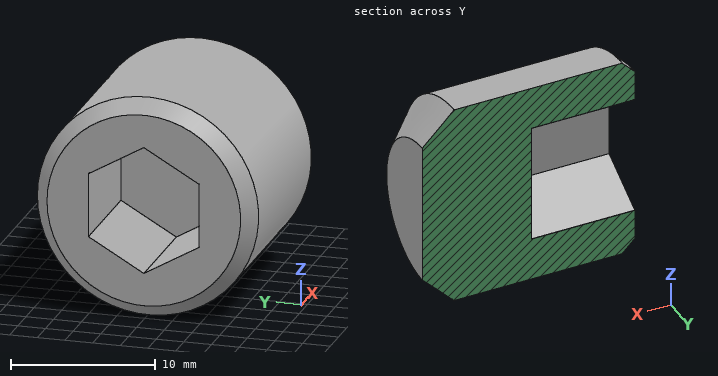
import cadquery as cq
import math

length = 16.5
diameter = 16.0
socket_chamfer = 1.0
tip_chamfer = 2.48
socket_across_flats = diameter / 2
socket_depth = socket_across_flats


def make_body():
    """Cylinder centred on the X axis, chamfered at both ends."""
    cylinder = cq.Workplane("YZ").circle(diameter / 2).extrude(length)
    return cylinder.faces("<X").chamfer(socket_chamfer).faces(">X").chamfer(tip_chamfer)


def make_socket():
    """Hexagonal prism with corners pointing up and down."""
    across_corners = socket_across_flats / math.cos(math.pi / 6)
    return (
        cq.Workplane("YZ")
        .transformed(rotate=(0, 0, 90))
        .polygon(6, across_corners)
        .extrude(socket_depth)
    )


result = make_body().cut(make_socket())